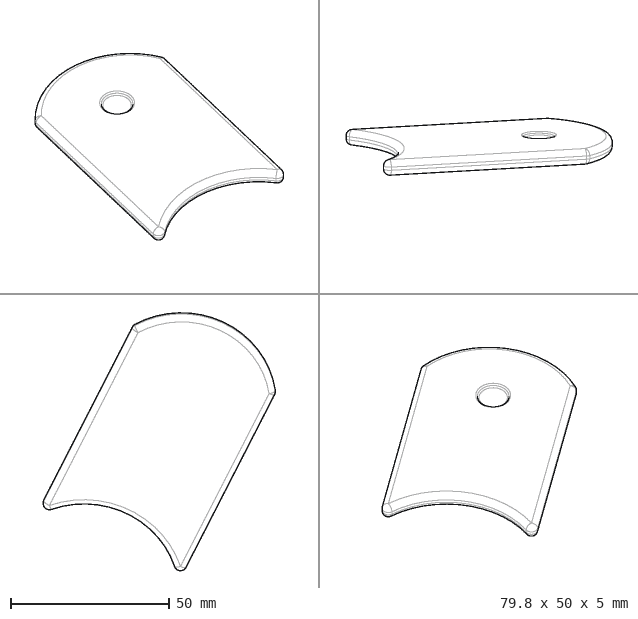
import cadquery as cq
import math

length = 79.75
width = 50.0
thickness = 5.0
edge_radius = 2.0
end_radius = 30.0

recess_diameter = 10.0
recess_round = 0.5
recess_depth = 2 * recess_round
recess_x = -16.9

face_half_length = length / 2 - edge_radius
face_half_width = width / 2 - edge_radius
nose_radius = end_radius - edge_radius
notch_radius = end_radius + edge_radius


def arc_height(radius):
    """Height of an arc of the given radius spanning the flat face width."""
    return radius - math.sqrt(radius**2 - face_half_width**2)


def make_plate():
    """Plate with a convex end at -X, a concave end at +X and a rounded rim."""
    nose_corner_x = -face_half_length + arc_height(nose_radius)
    notch_bottom_x = face_half_length - arc_height(notch_radius)
    return (
        cq.Workplane("XY")
        .workplane(offset=-thickness / 2)
        .moveTo(nose_corner_x, -face_half_width)
        .lineTo(face_half_length, -face_half_width)
        .threePointArc((notch_bottom_x, 0), (face_half_length, face_half_width))
        .lineTo(nose_corner_x, face_half_width)
        .threePointArc((-face_half_length, 0), (nose_corner_x, -face_half_width))
        .close()
        .offset2D(edge_radius, "arc")
        .extrude(thickness)
        .faces("<Z or >Z")
        .edges()
        .fillet(edge_radius)
    )


def make_recess_cutter():
    """Revolved recess: a rounded lip flowing into a rounded floor corner."""
    top = thickness / 2
    floor = top - recess_depth
    middle = top - recess_round
    wall = recess_diameter / 2
    bend = recess_round * math.sqrt(0.5)
    lip_center_x = wall + recess_round
    floor_center_x = wall - recess_round
    return (
        cq.Workplane("XZ")
        .moveTo(0, floor)
        .lineTo(floor_center_x, floor)
        .threePointArc((floor_center_x + bend, middle - bend), (wall, middle))
        .threePointArc((lip_center_x - bend, middle + bend), (lip_center_x, top))
        .lineTo(0, top)
        .close()
        .revolve(360, (0, 0, 0), (0, 1, 0))
        .translate((recess_x, 0, 0))
    )


result = make_plate().cut(make_recess_cutter())